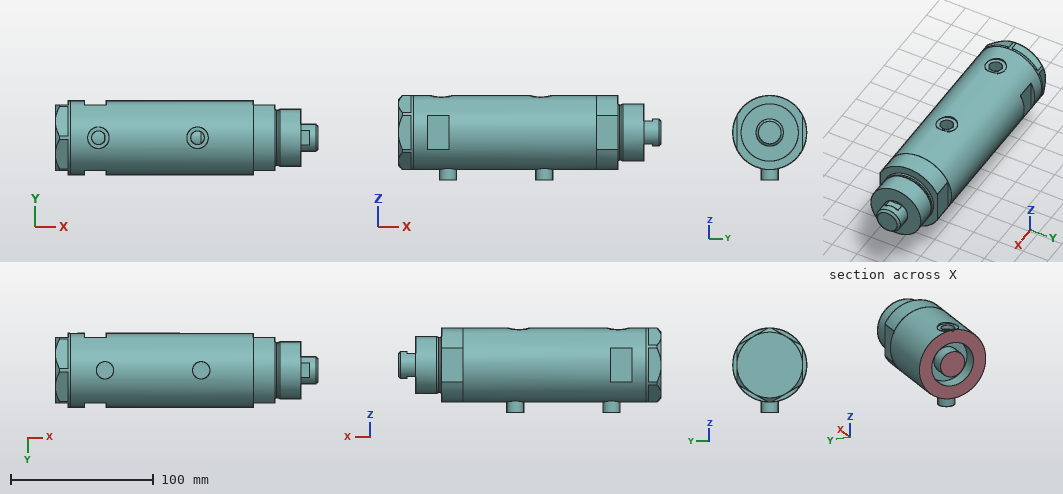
import cadquery as cq
import math


HEX_END = 9.0
CAP_FLANGE_END = 10.7
CAP_SPIGOT_END = 34.7
HEAD_SPIGOT_START = 102.3
TUBE_END = 138.9
COLLAR_END = 154.0
NOSE_START = 157.5
NOSE_END = 172.2
ROD_END = 184.4

TUBE_RADIUS = 26.0
BORE_RADIUS = 16.0
COUNTERBORE_RADIUS = 22.1
FLAT_HALF_WIDTH = 23.0
TUBE_FLAT_START = 20.7
TUBE_FLAT_LENGTH = 15.0
PORT_STATIONS = (30.2, 99.8)
PORT_RADIUS = 4.8
SPOTFACE_RADIUS = 7.5
SPOTFACE_HEIGHT = 24.9
BOSS_STATIONS = (34.9, 102.3)
BOSS_RADIUS = 6.0
BOSS_BOTTOM = -33.4

CAP_CHAMFER = TUBE_RADIUS - FLAT_HALF_WIDTH

COLLAR_RADIUS = TUBE_RADIUS
NOSE_RADIUS = 20.1
NECK_RADIUS = 19.4
NECK_TAPER = 1.1

ROD_RADIUS = 9.5
ROD_CHAMFER = 1.7
ROD_FLAT_HALF_WIDTH = 8.1
ROD_FLAT_END = 178.1


def cylinder_x(radius, start, end):
    """Cylinder about the X axis between two stations."""
    return cq.Workplane("YZ").workplane(offset=start).circle(radius).extrude(end - start)


def cylinder_z(radius, x, bottom, top):
    """Upright cylinder on the centre plane at station x."""
    return cq.Workplane("XY").workplane(offset=bottom).center(x, 0).circle(radius).extrude(top - bottom)


def slab(start, end, y_size, z_size):
    """Block centred on the X axis between two stations."""
    return cq.Workplane("YZ").workplane(offset=start).rect(y_size, z_size).extrude(end - start)


def make_tube():
    tube = cylinder_x(TUBE_RADIUS, CAP_FLANGE_END, TUBE_END)

    for x in BOSS_STATIONS:
        tube = tube.union(cylinder_z(BOSS_RADIUS, x, BOSS_BOTTOM, 0))

    tube = tube.cut(cylinder_x(BORE_RADIUS, CAP_FLANGE_END, HEAD_SPIGOT_START))
    tube = tube.cut(cylinder_x(COUNTERBORE_RADIUS, HEAD_SPIGOT_START, TUBE_END))

    flat_end = TUBE_FLAT_START + TUBE_FLAT_LENGTH
    outside = slab(TUBE_FLAT_START, flat_end, 2 * TUBE_RADIUS, 2 * TUBE_RADIUS)
    between_flats = slab(TUBE_FLAT_START, flat_end, 2 * FLAT_HALF_WIDTH, 2 * TUBE_RADIUS)
    tube = tube.cut(outside.cut(between_flats))

    for x in PORT_STATIONS:
        tube = tube.cut(cylinder_z(SPOTFACE_RADIUS, x, SPOTFACE_HEIGHT, TUBE_RADIUS))
        tube = tube.cut(cylinder_z(PORT_RADIUS, x, 0, TUBE_RADIUS))
    return tube


def make_cap():
    across_corners = 2 * FLAT_HALF_WIDTH / math.cos(math.radians(30))
    hexagon = cq.Workplane("YZ").transformed(rotate=(0, 0, 30)).polygon(6, across_corners).extrude(HEX_END)
    turned = cylinder_x(TUBE_RADIUS, 0, HEX_END).faces("<X").chamfer(CAP_CHAMFER)
    cap = hexagon.intersect(turned)

    cap = cap.union(cylinder_x(TUBE_RADIUS, HEX_END, CAP_FLANGE_END))
    return cap.union(cylinder_x(BORE_RADIUS, CAP_FLANGE_END, CAP_SPIGOT_END))


def make_head():
    profile = [
        (HEAD_SPIGOT_START, ROD_RADIUS),
        (HEAD_SPIGOT_START, COUNTERBORE_RADIUS),
        (TUBE_END, COUNTERBORE_RADIUS),
        (TUBE_END, COLLAR_RADIUS),
        (COLLAR_END, COLLAR_RADIUS),
        (COLLAR_END, NOSE_RADIUS),
        (COLLAR_END + NECK_TAPER, NECK_RADIUS),
        (NOSE_START - NECK_TAPER, NECK_RADIUS),
        (NOSE_START, NOSE_RADIUS),
        (NOSE_END, NOSE_RADIUS),
        (NOSE_END, ROD_RADIUS),
    ]
    head = cq.Workplane("XY").polyline(profile).close().revolve(360, (0, 0, 0), (1, 0, 0))

    between_flats = slab(HEAD_SPIGOT_START, NOSE_END, 2 * FLAT_HALF_WIDTH, 2 * COLLAR_RADIUS)
    return head.intersect(between_flats)


def make_rod():
    rod = cylinder_x(ROD_RADIUS, CAP_SPIGOT_END, ROD_END).faces(">X").chamfer(ROD_CHAMFER)

    outside = slab(NOSE_END, ROD_FLAT_END, 2 * ROD_RADIUS, 2 * ROD_RADIUS)
    between_flats = slab(NOSE_END, ROD_FLAT_END, 2 * ROD_RADIUS, 2 * ROD_FLAT_HALF_WIDTH)
    return rod.cut(outside.cut(between_flats))


tube = make_tube()
cap = make_cap()
head = make_head()
rod = make_rod()

bodies = [tube, cap, head, rod]
result = cq.Compound.makeCompound([body.solids().val() for body in bodies])